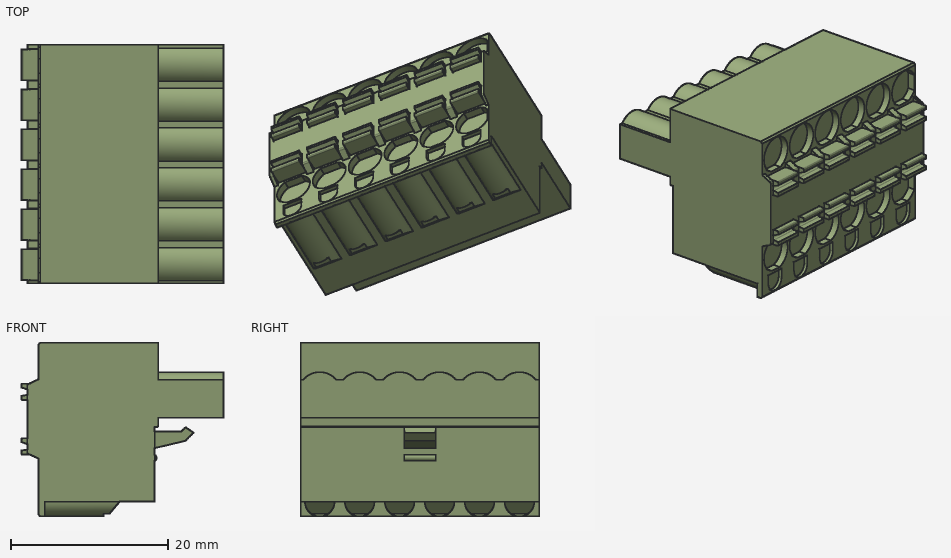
import cadquery as cq


width = 30.38
height = 22.1
half_width = width / 2

pole_count = 6
pole_pitch = 5.08
first_pole_y = half_width - pole_pitch / 2
pole_ys = [first_pole_y - pole_pitch * i for i in range(pole_count)]

edge_chamfer = 0.25
housing_back_x = 15.27
lower_back_x = 14.78
back_step_z = 11.35
back_step_chamfer = 0.15
underside_z = 1.89
front_lip_thickness = 0.82
rear_overlap = 1.0

band_projection = 1.4
band_mid_z = 12.4
band_root_half_height = 5.05
band_crest_half_height = 4.38
band_edge_radius = 0.25

lever_tip_x = -2.15
lever_width = 3.95
lever_offset_y = -0.03
lever_slot_width = 4.1
lever_height = 2.1
lever_row_spacing = 6.95
upper_lever_top_z = 16.9
lever_tip_radius = 0.15
lever_groove_top = 0.5
lever_groove_bottom = 1.55
lever_groove_radius = 0.33
lever_groove_mid = 1.1

entry_radius = 2.345
entry_offset_y = -0.16
entry_depth = 1.0
entry_end_wall = 0.2
upper_entry_z = 19.42
upper_entry_flat_z = 17.26
lower_entry_z = 5.44
lower_entry_top_z = 7.45
lower_entry_bottom_z = 3.22

test_radius = 1.31
test_centre_z = 1.62
test_top_z = 2.86
test_depth = 0.5
rib_radius = underside_z
rib_step = 0.33
rib_shell_end_x = 8.3
rib_core_end_x = 9.05
rib_tail_x = 10.35

plug_end_x = 23.57
plug_bottom_z = 12.53
plug_shoulder_z = 17.38
plug_crest_z = 18.36
lobe_width = 4.2

latch_width = 4.0
latch_root_top_z = 10.83
latch_root_bottom_z = 8.67
latch_neck_x = 18.18
latch_peak = (18.74, 11.35)
latch_nose = (19.76, 10.66)
latch_heel = (18.7, 9.6)
bead_radius = 0.4
bead_projection = 0.27
bead_z = 7.45


def prism(points, y_centre, y_width):
    """Extrude a closed XZ outline symmetrically about y_centre."""
    outline = cq.Workplane("XZ", origin=(0, y_centre, 0)).polyline(points).close()
    return outline.extrude(y_width / 2, both=True)


def block(x_range, y_range, z_range):
    """Axis-aligned box between the given limits."""
    sizes = [high - low for low, high in (x_range, y_range, z_range)]
    corner = (x_range[0], y_range[0], z_range[0])
    return cq.Workplane("XY").box(*sizes, centered=False).translate(corner)


def rod(x_start, x_end, y, z, radius):
    """Cylinder along X."""
    return cq.Workplane("YZ", origin=(x_start, y, z)).circle(radius).extrude(x_end - x_start)


def make_housing():
    """Main body with a front lip reaching below the underside."""
    outline = [
        (edge_chamfer, 0),
        (front_lip_thickness, 0),
        (front_lip_thickness, underside_z),
        (lower_back_x, underside_z),
        (lower_back_x, back_step_z),
        (housing_back_x - back_step_chamfer, back_step_z),
        (housing_back_x, back_step_z + back_step_chamfer),
        (housing_back_x, height),
        (edge_chamfer, height),
        (0, height - edge_chamfer),
        (0, edge_chamfer),
    ]
    return prism(outline, 0, width)


def make_band():
    """Raised band with sloping edges across the wire-entry face."""
    outline = [
        (rear_overlap, band_mid_z - band_root_half_height),
        (0, band_mid_z - band_root_half_height),
        (-band_projection, band_mid_z - band_crest_half_height),
        (-band_projection, band_mid_z + band_crest_half_height),
        (0, band_mid_z + band_root_half_height),
        (rear_overlap, band_mid_z + band_root_half_height),
    ]
    return prism(outline, 0, width).edges("|Y and <X").fillet(band_edge_radius)


def make_lever_slot(y, z_range):
    """Clearance in the band's sloping edge around one lever."""
    half = lever_slot_width / 2
    return block((-band_projection - rear_overlap, 0), (y - half, y + half), z_range)


def make_lever(y, top_z):
    """Release lever with a tapered, round-bottomed groove between two noses."""
    bottom_z = top_z - lever_height
    groove_z = top_z - lever_groove_mid
    outline = (
        cq.Workplane("XZ", origin=(0, y, 0))
        .moveTo(rear_overlap, top_z)
        .lineTo(lever_tip_x, top_z)
        .lineTo(lever_tip_x, top_z - lever_groove_top)
        .lineTo(-band_projection, groove_z + lever_groove_radius)
        .threePointArc(
            (-band_projection + lever_groove_radius, groove_z),
            (-band_projection, groove_z - lever_groove_radius),
        )
        .lineTo(lever_tip_x, top_z - lever_groove_bottom)
        .lineTo(lever_tip_x, bottom_z)
        .lineTo(rear_overlap, bottom_z)
        .close()
    )
    lever = outline.extrude(lever_width / 2, both=True)
    return lever.faces("<X").edges(">Z or <Z").fillet(lever_tip_radius)


def make_entry(y, centre_z, z_range):
    """Round recess flattened to z_range and kept clear of the -Y end wall."""
    round_recess = rod(0, entry_depth, y, centre_z, entry_radius)
    y_range = (max(y - entry_radius, entry_end_wall - half_width), y + entry_radius)
    return round_recess.intersect(block((0, entry_depth), y_range, z_range))


def make_test_recess(y):
    """Shallow recess with a half-round bottom and a flat top."""
    bottom = rod(0, test_depth, y, test_centre_z, test_radius)
    y_range = (y - test_radius, y + test_radius)
    bottom = bottom.intersect(block((0, test_depth), y_range, (0, test_centre_z)))
    return bottom.union(block((0, test_depth), y_range, (test_centre_z, test_top_z)))


def make_rib(y):
    """Half-round rib hanging below the underside, sloped off at its rear end."""
    rib_start_x = front_lip_thickness / 2
    rib_top_z = underside_z + rear_overlap
    side_profile = [
        (rib_start_x, 0),
        (rib_shell_end_x, 0),
        (rib_shell_end_x, rib_step),
        (rib_core_end_x, rib_step),
        (rib_tail_x, underside_z),
        (rib_tail_x, rib_top_z),
        (rib_start_x, rib_top_z),
    ]
    bar = rod(rib_start_x, rib_tail_x, y, underside_z, rib_radius)
    return bar.intersect(prism(side_profile, y, 2 * rib_radius))


def make_plug():
    """Mating plug with one rounded lobe per pole along its top."""
    start_x = housing_back_x - rear_overlap
    outline = cq.Workplane("YZ", origin=(start_x, 0, 0)).moveTo(half_width, plug_bottom_z)
    outline = outline.lineTo(half_width, plug_shoulder_z)
    for y in pole_ys:
        outline = outline.lineTo(y + lobe_width / 2, plug_shoulder_z)
        outline = outline.threePointArc((y, plug_crest_z), (y - lobe_width / 2, plug_shoulder_z))
    outline = outline.lineTo(-half_width, plug_shoulder_z).lineTo(-half_width, plug_bottom_z).close()
    return outline.extrude(plug_end_x - start_x)


def make_latch():
    """Hooked latch reaching to +X from the middle of the back face."""
    root_x = lower_back_x - rear_overlap
    outline = [
        (root_x, latch_root_top_z),
        (latch_neck_x, latch_root_top_z),
        latch_peak,
        latch_nose,
        latch_heel,
        (lower_back_x, latch_root_bottom_z),
        (root_x, latch_root_bottom_z),
    ]
    return prism(outline, 0, latch_width)


def make_bead():
    """Small rounded bead below the latch."""
    centre_x = lower_back_x + bead_projection - bead_radius
    bead = cq.Workplane("XZ").center(centre_x, bead_z).circle(bead_radius)
    return bead.extrude(latch_width / 2, both=True)


upper_slot_z = (upper_lever_top_z - lever_height, height)
lower_lever_top_z = upper_lever_top_z - lever_row_spacing
lower_slot_z = (0, lower_lever_top_z)

band = make_band()
for pole_y in pole_ys:
    lever_y = pole_y + lever_offset_y
    band = band.cut(make_lever_slot(lever_y, upper_slot_z))
    band = band.cut(make_lever_slot(lever_y, lower_slot_z))

result = make_housing().union(band).union(make_plug()).union(make_latch()).union(make_bead())

for pole_y in pole_ys:
    entry_y = pole_y + entry_offset_y
    result = result.union(make_rib(pole_y))
    result = result.cut(make_entry(entry_y, upper_entry_z, (upper_entry_flat_z, height)))
    result = result.cut(make_entry(entry_y, lower_entry_z, (lower_entry_bottom_z, lower_entry_top_z)))
    result = result.cut(make_test_recess(pole_y))
    for lever_top_z in (upper_lever_top_z, lower_lever_top_z):
        result = result.union(make_lever(pole_y + lever_offset_y, lever_top_z))